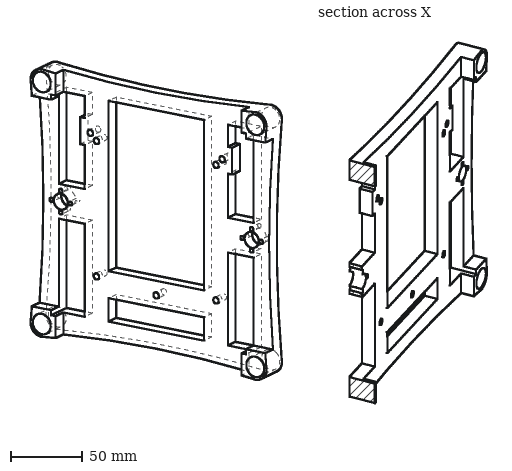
import cadquery as cq
import math

size = 197.7
depth = 20.0
plate_thickness = 10.0
side_inset = 4.4
bow_start = 2.4

corner_radius = 9.5
post_bore = 15.0
post_width = 21.2

window_half_width = 40.0
opening_reach = 81.5
band_top = -44.3
band_height = 20.0
slot_inner = 60.0
bridge_half_height = 12.9
tab_width = 3.8
tab_height = 20.0
tab_top = 65.3

hub_offset = 79.9
hub_bore = 11.7
hub_screw_offset = 8.0
hub_screw_diameter = 3.0
mount_diameter = 4.5
inner_mount = 50.0
outer_mount = 55.2

half = size / 2
corner_centre = half - corner_radius
corner_points = [(sx * corner_centre, sz * corner_centre) for sx in (-1, 1) for sz in (-1, 1)]


def front_sketch():
    """Sketch plane whose local axes are +X and +Z; extrusions run from y = 0 towards -Y."""
    return cq.Workplane("XZ")


def block(x_min, x_max, z_min, z_max, length=depth):
    """Rectangular block running forward from the y = 0 face by the given length."""
    return (
        front_sketch()
        .center((x_min + x_max) / 2, (z_min + z_max) / 2)
        .rect(x_max - x_min, z_max - z_min)
        .extrude(length)
    )


def cylinders(points, diameter):
    """Full-depth cylinders at the given (x, z) points."""
    return front_sketch().pushPoints(points).circle(diameter / 2).extrude(depth)


def frame_blank():
    """Full-depth square with four sides bowed inwards, ending on round corner posts."""
    end_along = corner_centre - bow_start
    end_out = corner_centre + math.sqrt(corner_radius**2 - bow_start**2)
    middle_out = half - side_inset
    body = (
        front_sketch()
        .moveTo(-end_along, end_out)
        .threePointArc((0, middle_out), (end_along, end_out))
        .lineTo(end_out, end_along)
        .threePointArc((middle_out, 0), (end_out, -end_along))
        .lineTo(end_along, -end_out)
        .threePointArc((0, -middle_out), (-end_along, -end_out))
        .lineTo(-end_out, -end_along)
        .threePointArc((-middle_out, 0), (-end_out, end_along))
        .close()
        .extrude(depth)
    )
    return body.union(cylinders(corner_points, 2 * corner_radius))


def front_recess():
    """Cross-shaped space that leaves the posts standing in front of the plate."""
    post_inner = half - post_width
    recess_depth = depth - plate_thickness
    recess = block(-half, half, -post_inner, post_inner, recess_depth)
    recess = recess.union(block(-post_inner, post_inner, -half, half, recess_depth))
    return recess.translate((0, -plate_thickness, 0))


def centre_windows():
    large = block(-window_half_width, window_half_width, band_top, opening_reach)
    lower = block(-window_half_width, window_half_width, -opening_reach, band_top - band_height)
    return large.union(lower)


def side_slots():
    """Pair of slots on the right side; the upper one is narrowed by a tab."""
    upper = block(slot_inner, opening_reach, bridge_half_height, opening_reach)
    lower = block(slot_inner, opening_reach, -opening_reach, -bridge_half_height)
    tab = block(slot_inner, slot_inner + tab_width, tab_top - tab_height, tab_top)
    return upper.cut(tab).union(lower)


def hub_holes(centre_x):
    screws = [
        (centre_x + hub_screw_offset, 0),
        (centre_x - hub_screw_offset, 0),
        (centre_x, hub_screw_offset),
        (centre_x, -hub_screw_offset),
    ]
    return cylinders([(centre_x, 0)], hub_bore).union(cylinders(screws, hub_screw_diameter))


def mount_holes():
    points = [(0, -outer_mount)]
    for side in (-1, 1):
        points.append((side * inner_mount, inner_mount))
        points.append((side * inner_mount, -inner_mount))
        points.append((side * outer_mount, outer_mount))
    return cylinders(points, mount_diameter)


result = frame_blank().cut(front_recess()).cut(centre_windows())
result = result.cut(side_slots()).cut(side_slots().mirror("YZ"))
result = result.cut(cylinders(corner_points, post_bore)).cut(mount_holes())
for side in (-1, 1):
    result = result.cut(hub_holes(side * hub_offset))